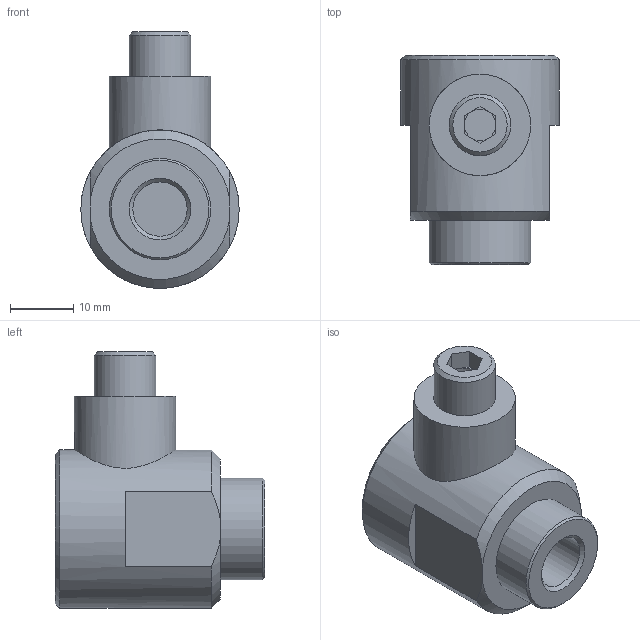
import cadquery as cq

barrel_diameter = 25.0
barrel_back = 11.0
barrel_front = -15.0
back_chamfer = 0.7
front_chamfer = 1.4

across_flats = 22.0

collar_diameter = 16.0
collar_length = 7.0
collar_edge_chamfer = 0.3
collar_front = barrel_front - collar_length
boss_top = 21.0

thread_major = 9.73
thread_minor = 8.57
thread_chamfer = (thread_major - thread_minor) / 2
port_depth = 14.0

nipple_exposed = 7.0
nipple_seated = nipple_exposed
nipple_top = boss_top + nipple_exposed
nipple_bottom = boss_top - nipple_seated
hex_across_flats = 5.0
hex_depth = 3.0
nipple_bore = hex_across_flats


def cylinder_along_y(diameter, front, back):
    """Cylinder on the Y axis between two Y positions."""
    return cq.Workplane("XZ", origin=(0, back, 0)).circle(diameter / 2).extrude(back - front)


def cylinder_along_z(diameter, bottom, top):
    """Cylinder on the Z axis between two Z positions."""
    return cq.Workplane("XY", origin=(0, 0, bottom)).circle(diameter / 2).extrude(top - bottom)


def make_barrel():
    """Barrel with both rims chamfered and the two wrench flats cut."""
    barrel = cylinder_along_y(barrel_diameter, barrel_front, barrel_back)
    barrel = barrel.faces(">Y").chamfer(back_chamfer)
    barrel = barrel.faces("<Y").chamfer(front_chamfer)
    flat_depth = (barrel_diameter - across_flats) / 2
    for side in (-1, 1):
        flat_cutter = cq.Workplane("XY").box(flat_depth, -barrel_front, barrel_diameter)
        flat_center_x = side * (across_flats + flat_depth) / 2
        barrel = barrel.cut(flat_cutter.translate((flat_center_x, barrel_front / 2, 0)))
    return barrel


def make_housing():
    """Barrel, front collar and top boss in one piece, with the front port and the nipple seat."""
    collar = cylinder_along_y(collar_diameter, collar_front, 0)
    collar = collar.faces("<Y").chamfer(collar_edge_chamfer)
    boss = cylinder_along_z(collar_diameter, 0, boss_top)
    housing = make_barrel().union(collar).union(boss)

    port = cylinder_along_y(thread_minor, collar_front, collar_front + port_depth)
    port_mouth = (
        cq.Workplane("XZ", origin=(0, collar_front, 0))
        .circle(thread_major / 2)
        .workplane(offset=-thread_chamfer)
        .circle(thread_minor / 2)
        .loft(ruled=True)
    )
    nipple_seat = cylinder_along_z(thread_major, nipple_bottom, boss_top)
    return housing.cut(port).cut(port_mouth).cut(nipple_seat)


def make_nipple():
    """Threaded nipple with a chamfered top rim, a hex socket and a round bore below it."""
    nipple = cylinder_along_z(thread_major, nipple_bottom, nipple_top)
    nipple = nipple.faces(">Z").chamfer(thread_chamfer)
    bore = cylinder_along_z(nipple_bore, nipple_bottom, nipple_top)
    hex_socket = (
        cq.Workplane("XY", origin=(0, 0, nipple_top - hex_depth))
        .polygon(6, hex_across_flats, circumscribed=True)
        .extrude(hex_depth)
    )
    return nipple.cut(bore).cut(hex_socket)


housing = make_housing()
nipple = make_nipple()
result = cq.Compound.makeCompound([housing.solids().val(), nipple.solids().val()])